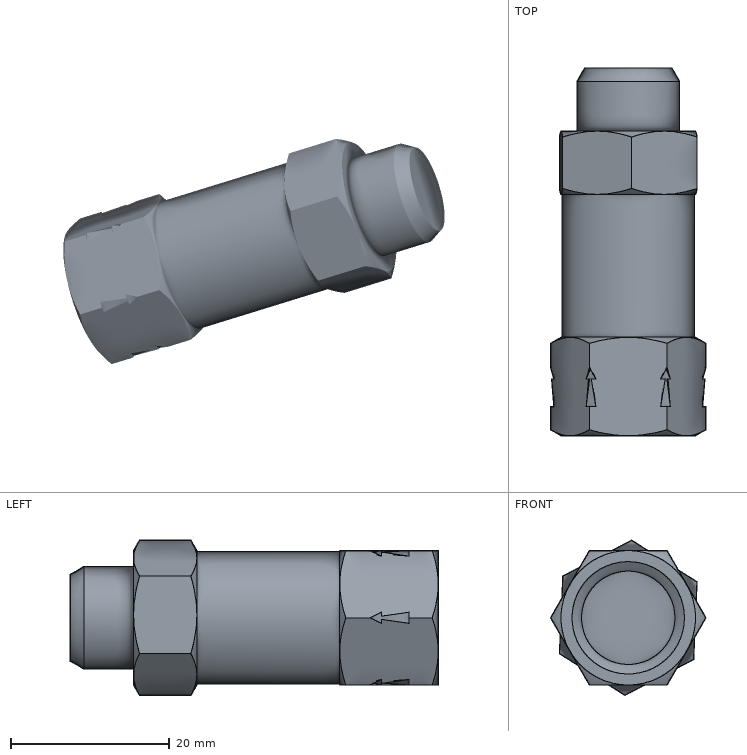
import cadquery as cq
import math

HEX_SIDES = 6
CORNER_PITCH = 360 / HEX_SIDES
ACROSS_FLATS = 17.0
ACROSS_CORNERS = ACROSS_FLATS / math.cos(math.radians(CORNER_PITCH / 2))
SOCKET_HEX_LENGTH = 12.5
BODY_LENGTH = 18.0
NUT_LENGTH = 8.0
SPIGOT_LENGTH = 8.0
BODY_DIAMETER = 16.8
SPIGOT_DIAMETER = 13.0

CORNER_CHAMFER_ANGLE = 30.0
NUT_TURN = 2.5

SPIGOT_CHAMFER_WIDTH = 1.0
SPIGOT_CHAMFER_ANGLE = 30.0

RECESS_MOUTH_DIAMETER = 14.2
RECESS_FLOOR_DIAMETER = 11.8
RECESS_DEPTH = (RECESS_MOUTH_DIAMETER - RECESS_FLOOR_DIAMETER) / 2

ARROW_TAIL_Y = 3.7
ARROW_SHAFT_LENGTH = 3.5
ARROW_HEAD_LENGTH = 1.4
ARROW_HALF_WIDTH = 0.7
ARROW_NECK_HALF_WIDTH = 0.2
ARROW_DEPTH = ARROW_HALF_WIDTH * math.tan(math.radians(CORNER_PITCH / 2))
ARROW_CUT_HEIGHT = 2 * ARROW_DEPTH

BODY_START = SOCKET_HEX_LENGTH
NUT_START = BODY_START + BODY_LENGTH
SPIGOT_START = NUT_START + NUT_LENGTH


def plane_at(y):
    """Work plane across the axis at y, with its normal along +Y and its local x along X."""
    return cq.Workplane(cq.Plane(origin=(0, y, 0), xDir=(1, 0, 0), normal=(0, 1, 0)))


def turned(profile):
    """Solid of revolution about the Y axis from (radius, y) points."""
    return cq.Workplane("XY").polyline(profile).close().revolve(360, (0, 0, 0), (0, 1, 0))


def chamfered_hexagon(start, length, start_diameter, end_diameter):
    """Hexagonal prism along Y whose corners are turned down to a circle on each end face."""
    end = start + length
    corner_radius = ACROSS_CORNERS / 2
    slope = math.tan(math.radians(CORNER_CHAMFER_ANGLE))
    start_drop = (corner_radius - start_diameter / 2) * slope
    end_drop = (corner_radius - end_diameter / 2) * slope
    envelope = turned([
        (0, start),
        (start_diameter / 2, start),
        (corner_radius, start + start_drop),
        (corner_radius, end - end_drop),
        (end_diameter / 2, end),
        (0, end),
    ])
    return plane_at(start).polygon(HEX_SIDES, ACROSS_CORNERS).extrude(length).intersect(envelope)


def make_spigot():
    end = SPIGOT_START + SPIGOT_LENGTH
    radius = SPIGOT_DIAMETER / 2
    chamfer_length = SPIGOT_CHAMFER_WIDTH / math.tan(math.radians(SPIGOT_CHAMFER_ANGLE))
    return turned([
        (0, SPIGOT_START),
        (radius, SPIGOT_START),
        (radius, end - chamfer_length),
        (radius - SPIGOT_CHAMFER_WIDTH, end),
        (0, end),
    ])


def make_recess():
    return turned([
        (0, 0),
        (RECESS_MOUTH_DIAMETER / 2, 0),
        (RECESS_FLOOR_DIAMETER / 2, RECESS_DEPTH),
        (0, RECESS_DEPTH),
    ])


def make_arrow():
    """Cutter for the arrow on the +X corner, pointing along +Y."""
    neck_y = ARROW_TAIL_Y + ARROW_SHAFT_LENGTH
    tip_y = neck_y + ARROW_HEAD_LENGTH
    floor = cq.Workplane("YZ").workplane(offset=ACROSS_CORNERS / 2 - ARROW_DEPTH)
    return floor.polyline([
        (ARROW_TAIL_Y, -ARROW_HALF_WIDTH),
        (neck_y, -ARROW_NECK_HALF_WIDTH),
        (neck_y, -ARROW_HALF_WIDTH),
        (tip_y, 0),
        (neck_y, ARROW_HALF_WIDTH),
        (neck_y, ARROW_NECK_HALF_WIDTH),
        (ARROW_TAIL_Y, ARROW_HALF_WIDTH),
    ]).close().extrude(ARROW_CUT_HEIGHT)


def make_socket_hexagon():
    hexagon = chamfered_hexagon(0, SOCKET_HEX_LENGTH, ACROSS_FLATS, BODY_DIAMETER)
    hexagon = hexagon.cut(make_recess())
    arrow = make_arrow()
    for corner in range(HEX_SIDES):
        hexagon = hexagon.cut(arrow.rotate((0, 0, 0), (0, 1, 0), corner * CORNER_PITCH))
    return hexagon


def make_nut():
    nut = chamfered_hexagon(NUT_START, NUT_LENGTH, ACROSS_FLATS, ACROSS_FLATS)
    return nut.rotate((0, 0, 0), (0, 1, 0), CORNER_PITCH / 2 + NUT_TURN)


body = plane_at(BODY_START).circle(BODY_DIAMETER / 2).extrude(BODY_LENGTH)
result = make_socket_hexagon().union(body).union(make_nut()).union(make_spigot())